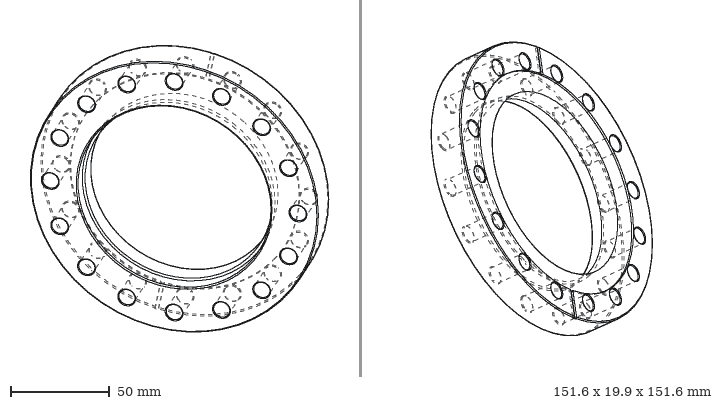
import cadquery as cq

outer_radius = 75.8
thickness = 19.9
rim_chamfer = 0.6

bore_radius = 49.3
seat_radius = 50.8
seat_depth = 8.2
seat_chamfer = 0.8

recess_radius = 60.3
recess_depth = 1.2

bolt_count = 16
bolt_circle_radius = 65.2
bolt_hole_radius = 4.2
bolt_chamfer = 0.5

notch_width = 1.8
notch_depth = 1.0
bolt_pitch = 360 / bolt_count
notch_angle = bolt_pitch / 2

front = -thickness / 2
back = thickness / 2


def make_ring():
    """Revolve the stepped half section about the Y axis."""
    section = [
        (seat_radius + seat_chamfer, front),
        (outer_radius - rim_chamfer, front),
        (outer_radius, front + rim_chamfer),
        (outer_radius, back - rim_chamfer),
        (outer_radius - rim_chamfer, back),
        (recess_radius, back),
        (recess_radius, back - recess_depth),
        (bore_radius, back - recess_depth),
        (bore_radius, front + seat_depth),
        (seat_radius, front + seat_depth),
        (seat_radius, front + seat_chamfer),
    ]
    return cq.Workplane("XY").polyline(section).close().revolve(360, (0, 0), (0, 1))


def make_bolt_hole():
    """Through hole at the top of the bolt circle, chamfered at both mouths."""
    mouth_radius = bolt_hole_radius + bolt_chamfer
    half_section = [
        (0, front),
        (mouth_radius, front),
        (bolt_hole_radius, front + bolt_chamfer),
        (bolt_hole_radius, back - bolt_chamfer),
        (mouth_radius, back),
        (0, back),
    ]
    hole = cq.Workplane("XY").polyline(half_section).close().revolve(360, (0, 0), (0, 1))
    return hole.translate((0, 0, bolt_circle_radius))


def make_notches():
    """Bar across the whole back face, leaving a notch on each side of the recess."""
    bar = cq.Workplane("XY").box(notch_width, 2 * notch_depth, 2 * outer_radius)
    bar = bar.translate((0, back, 0))
    return bar.rotate((0, 0, 0), (0, 1, 0), notch_angle)


result = make_ring()
bolt_hole = make_bolt_hole()
for index in range(bolt_count):
    result = result.cut(bolt_hole.rotate((0, 0, 0), (0, 1, 0), index * bolt_pitch))
result = result.cut(make_notches())